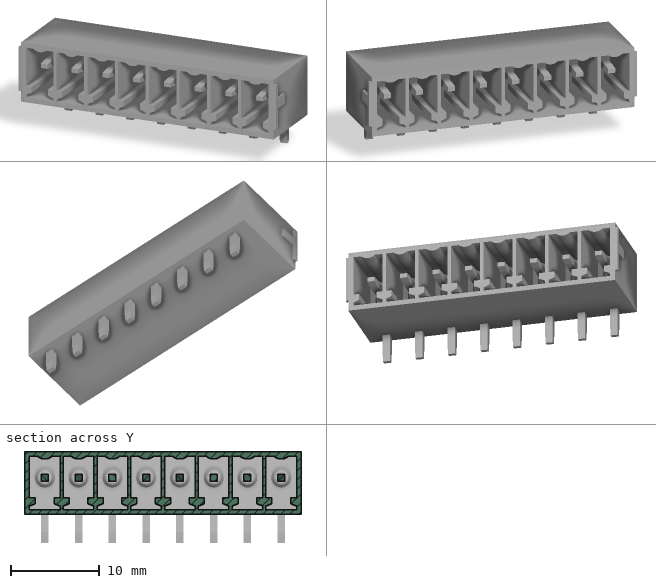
import cadquery as cq

CONTACT_COUNT = 8
PITCH = 3.81
HOUSING_DEPTH = 9.2
HOUSING_HEIGHT = 7.1
OVERALL_LENGTH = 31.87

EAR_THICKNESS = 0.3
LIP_DEPTH = 0.58
LIP_BOTTOM_Z = 1.25
LIP_TOP_Z = 6.54
ARM_REACH = 2.53
ARM_BOTTOM_Z = 3.56
ARM_TOP_Z = 4.81
ARM_FILLET = 0.25
LIP_FILLET = 0.18

CAVITY_WIDTH = 3.4
CAVITY_DEPTH = 7.0
CAVITY_MARGIN = 0.57
RAIL_WIDTH = 0.68
RAIL_TOP_Z = 1.92
RAIL_SIDE_BOTTOM_Z = 1.2
RAIL_FOOT_Z = 0.93
RIDGE_WIDTH = 1.6
RIDGE_DROP = 0.3

BOSS_BASE_DIAMETER = 2.2
BOSS_SHOULDER_DIAMETER = 1.6
BOSS_TOP_DIAMETER = 1.27
BOSS_SHOULDER_HEIGHT = 0.6
BOSS_HEIGHT = 0.7

PIN_WIDTH = 0.85
PIN_THICKNESS = 0.82
PIN_AXIS_Z = 4.15
PIN_TAIL_LENGTH = 3.2
PIN_TAIL_BACK_GAP = 0.79
PIN_FRONT_SETBACK = 1.25
TIP_LENGTH = 1.15
TIP_THICKNESS = 0.52

HOUSING_LENGTH = OVERALL_LENGTH - 2 * EAR_THICKNESS
TAIL_AXIS_Y = HOUSING_DEPTH - PIN_TAIL_BACK_GAP - PIN_THICKNESS / 2
CONTACT_XS = [(i - (CONTACT_COUNT - 1) / 2) * PITCH for i in range(CONTACT_COUNT)]


def ear_plate(start_x, depth, bottom_z, top_z, fillet):
    """Flat plate on an end face, reaching back from the front with rounded back corners."""
    return (
        cq.Workplane("XY", origin=(start_x, 0, bottom_z))
        .box(EAR_THICKNESS, depth, top_z - bottom_z, centered=False)
        .edges("|X and >Y")
        .fillet(fillet)
    )


def ear(start_x):
    """T-shaped ear: an upright lip along the front edge with an arm reaching back."""
    lip = ear_plate(start_x, LIP_DEPTH, LIP_BOTTOM_Z, LIP_TOP_Z, LIP_FILLET)
    arm = ear_plate(start_x, ARM_REACH, ARM_BOTTOM_Z, ARM_TOP_Z, ARM_FILLET)
    return lip.union(arm)


def cavity(x):
    """Space for one plug: keyed by two rails near the floor and a rounded ridge in the roof."""
    half = CAVITY_WIDTH / 2
    neck = half - RAIL_WIDTH
    floor_z = CAVITY_MARGIN
    roof_z = HOUSING_HEIGHT - CAVITY_MARGIN
    return (
        cq.Workplane("XZ", origin=(x, 0, 0))
        .moveTo(-half, floor_z)
        .lineTo(half, floor_z)
        .lineTo(half, RAIL_FOOT_Z)
        .lineTo(neck, RAIL_SIDE_BOTTOM_Z)
        .lineTo(neck, RAIL_TOP_Z)
        .lineTo(half, RAIL_TOP_Z)
        .lineTo(half, roof_z)
        .lineTo(RIDGE_WIDTH / 2, roof_z)
        .threePointArc((0, roof_z - RIDGE_DROP), (-RIDGE_WIDTH / 2, roof_z))
        .lineTo(-half, roof_z)
        .lineTo(-half, RAIL_TOP_Z)
        .lineTo(-neck, RAIL_TOP_Z)
        .lineTo(-neck, RAIL_SIDE_BOTTOM_Z)
        .lineTo(-half, RAIL_FOOT_Z)
        .close()
        .extrude(-CAVITY_DEPTH)
    )


def boss(x):
    """Conical boss with a bevelled end, pointing out of the cavity around the pin."""
    return (
        cq.Workplane("XY", origin=(x, CAVITY_DEPTH, PIN_AXIS_Z))
        .lineTo(BOSS_BASE_DIAMETER / 2, 0)
        .lineTo(BOSS_SHOULDER_DIAMETER / 2, -BOSS_SHOULDER_HEIGHT)
        .lineTo(BOSS_TOP_DIAMETER / 2, -BOSS_HEIGHT)
        .lineTo(0, -BOSS_HEIGHT)
        .close()
        .revolve(360, (0, 0, 0), (0, 1, 0))
    )


def pin(x):
    """Right-angle pin: a contact along Y and a solder tail along -Z, both with tapered tips."""
    half = PIN_THICKNESS / 2
    half_tip = TIP_THICKNESS / 2
    front_y = PIN_FRONT_SETBACK
    tail_end_z = -PIN_TAIL_LENGTH
    return (
        cq.Workplane("YZ", origin=(x, 0, 0))
        .moveTo(front_y, PIN_AXIS_Z - half_tip)
        .lineTo(front_y + TIP_LENGTH, PIN_AXIS_Z - half)
        .lineTo(TAIL_AXIS_Y - half, PIN_AXIS_Z - half)
        .lineTo(TAIL_AXIS_Y - half, tail_end_z + TIP_LENGTH)
        .lineTo(TAIL_AXIS_Y - half_tip, tail_end_z)
        .lineTo(TAIL_AXIS_Y + half_tip, tail_end_z)
        .lineTo(TAIL_AXIS_Y + half, tail_end_z + TIP_LENGTH)
        .lineTo(TAIL_AXIS_Y + half, PIN_AXIS_Z + half)
        .lineTo(front_y + TIP_LENGTH, PIN_AXIS_Z + half)
        .lineTo(front_y, PIN_AXIS_Z + half_tip)
        .close()
        .extrude(PIN_WIDTH / 2, both=True)
    )


housing = cq.Workplane("XY").box(
    HOUSING_LENGTH, HOUSING_DEPTH, HOUSING_HEIGHT, centered=(True, False, False)
)
for ear_start_x in (-OVERALL_LENGTH / 2, HOUSING_LENGTH / 2):
    housing = housing.union(ear(ear_start_x))

pins = []
for contact_x in CONTACT_XS:
    contact_pin = pin(contact_x)
    pins.append(contact_pin.val())
    housing = housing.cut(cavity(contact_x)).union(boss(contact_x)).cut(contact_pin)

result = cq.Compound.makeCompound([housing.val(), *pins])